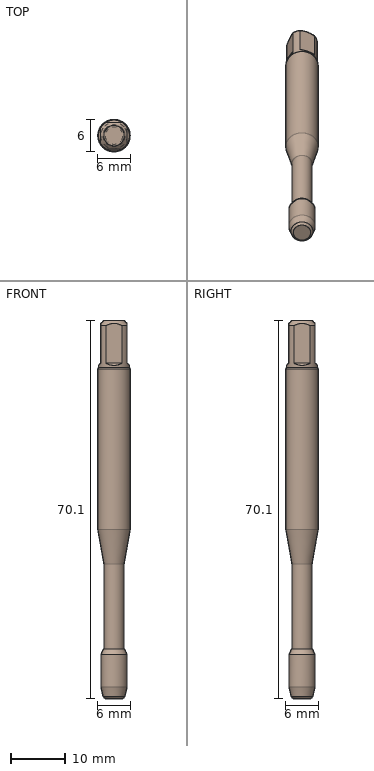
import cadquery as cq

total_length = 70.1
tip_chamfer_top = 0.4
lead_top = 2.25
head_shoulder = 8.2
head_top = 9.25
taper_bottom = 25.0
taper_top = 31.3
shank_edge = 61.1
shank_top = 61.35
flat_bottom = 62.2

tip_diameter = 3.2
lead_diameter = 4.1
head_diameter = 4.9
neck_diameter = 3.8
head_top_diameter = 3.9
shank_diameter = 6.0
drive_diameter = 5.75

across_flats = 4.9
end_face_diameter = 3.8


def turned(stations):
    """Solid of revolution about Z through (diameter, height) stations."""
    outline = [(diameter / 2, height) for diameter, height in stations]
    first_height = stations[0][1]
    last_height = stations[-1][1]
    return (
        cq.Workplane("XZ")
        .polyline([(0, first_height), *outline, (0, last_height)])
        .close()
        .revolve(360, (0, 0, 0), (0, 1, 0))
    )


def make_head():
    """Threading head, as a plain cylinder with a tapered lead and a chamfered shoulder."""
    return turned([
        (tip_diameter, 0),
        (lead_diameter, tip_chamfer_top),
        (head_diameter, lead_top),
        (head_diameter, head_shoulder),
        (head_top_diameter, head_top),
    ])


def flat_cutter():
    """Block that mills the +X flat, with a 45 degree run-out at its lower end."""
    flat_distance = across_flats / 2
    outer_distance = shank_diameter
    run_out = outer_distance - flat_distance
    return (
        cq.Workplane("XZ")
        .polyline([
            (flat_distance, flat_bottom),
            (outer_distance, flat_bottom - run_out),
            (outer_distance, total_length),
            (flat_distance, total_length),
        ])
        .close()
        .extrude(shank_diameter / 2, both=True)
    )


def make_shank():
    """Neck, taper, round shank and driving square in one piece."""
    end_chamfer = (drive_diameter - end_face_diameter) / 2
    shank = turned([
        (neck_diameter, head_top),
        (neck_diameter, taper_bottom),
        (shank_diameter, taper_top),
        (shank_diameter, shank_edge),
        (drive_diameter, shank_top),
        (drive_diameter, total_length - end_chamfer),
        (end_face_diameter, total_length),
    ])
    drive_zone = (
        cq.Workplane("XY", origin=(0, 0, shank_top))
        .circle(2 * shank_diameter)
        .extrude(total_length - shank_top)
    )
    cutter = flat_cutter().intersect(drive_zone)
    for angle in (0, 90, 180, 270):
        shank = shank.cut(cutter.rotate((0, 0, 0), (0, 0, 1), angle))
    return shank


head = make_head()
shank = make_shank()
result = cq.Compound.makeCompound([head.val(), shank.val()])